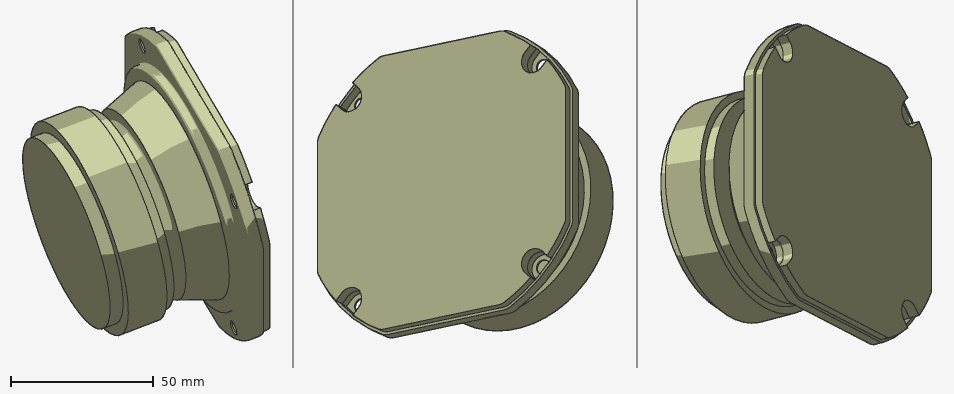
import cadquery as cq
import math


flange_width = 104.0
corner_arc_radius = 57.7
corner_blend_radius = 5.8

hole_offset = 37.3
hole_diameter = 5.2
corner_angles = [45, 135, 225, 315]

gasket_proud = 3.0
gasket_recess = 1.0
notch_width = 9.6
notch_shift = 0.4

flange_height = 4.6
flange_rim = 1.0
flange_front_wall = 0.6
flange_edge_round = 0.8
collar_diameter = 92.0
collar_height = 3.3
collar_root_round = 0.5
collar_edge_round = 1.0
bowl_back_diameter = 81.7
bowl_front_diameter = 71.5
bowl_depth = 14.4
neck_back_diameter = 62.4
neck_front_diameter = 56.0
neck_depth = 5.4
neck_root_round = 1.0

front_plate_diameter = 74.7
front_plate_thickness = 4.0
magnet_diameter = 80.0
magnet_thickness = 15.0
back_plate_diameter = 71.5
total_depth = 54.6

gasket_thickness = gasket_proud + gasket_recess
flange_front = gasket_proud + flange_height
pocket_front = flange_front - flange_front_wall
collar_front = flange_front + collar_height
bowl_front = collar_front + bowl_depth
neck_front = bowl_front + neck_depth
magnet_back = neck_front + front_plate_thickness
magnet_front = magnet_back + magnet_thickness


def plane_at(depth):
    """Plane across the speaker axis, its normal pointing forward along -Y."""
    return cq.Workplane("XZ", origin=(0, -depth, 0))


def turned(outline):
    """Turn a closed outline, drawn in (Y, radius), about the speaker axis."""
    return outline.revolve(360, (0, 0, 0), (1, 0, 0))


def flange_block(inset, back, front):
    """Square cut by the corner arc, with its outline moved inward by the inset."""
    side = flange_width - 2 * inset
    thickness = front - back
    square = plane_at(back).rect(side, side).extrude(thickness)
    round_blank = plane_at(back).circle(corner_arc_radius - inset).extrude(thickness)
    return square.intersect(round_blank).edges("|Y").fillet(corner_blend_radius - inset)


def hole_positions():
    return [(x, z) for x in (-hole_offset, hole_offset) for z in (-hole_offset, hole_offset)]


def corner_notches(back, front):
    """Slots around the mounting holes, rounded at the hole and running outward past the gasket edge."""
    round_end_center = hole_offset * math.sqrt(2) + notch_shift
    notch_length = flange_width / 2
    slot_center = round_end_center + (notch_length - notch_width) / 2
    slot = plane_at(back).center(slot_center, 0).slot2D(notch_length, notch_width).extrude(front - back)
    notches = cq.Workplane("XY")
    for angle in corner_angles:
        notches = notches.add(slot.rotate((0, 0, 0), (0, 1, 0), angle))
    return notches.combine()


def make_gasket():
    return flange_block(flange_rim, 0, gasket_thickness).cut(corner_notches(0, gasket_thickness))


def make_flange():
    """Plate with a rounded front edge, a recess for the gasket, and a pocket and a hole at each corner."""
    flange = flange_block(0, gasket_proud, flange_front)
    flange = flange.faces("<Y").edges().fillet(flange_edge_round)
    flange = flange.cut(flange_block(flange_rim, 0, gasket_thickness))

    pockets = flange_block(flange_rim, gasket_thickness, pocket_front)
    pockets = pockets.intersect(corner_notches(gasket_thickness, pocket_front))
    holes = plane_at(gasket_proud).pushPoints(hole_positions()).circle(hole_diameter / 2)
    return flange.cut(pockets).cut(holes.extrude(flange_height))


def make_basket_body():
    """Collar, bowl and neck, with the small rounds at the collar and at the root of the neck."""
    collar_radius = collar_diameter / 2
    outline = (
        cq.Workplane("YZ")
        .moveTo(-flange_front, 0)
        .lineTo(-flange_front, collar_radius + collar_root_round)
        .radiusArc((-flange_front - collar_root_round, collar_radius), collar_root_round)
        .lineTo(-collar_front + collar_edge_round, collar_radius)
        .radiusArc((-collar_front, collar_radius - collar_edge_round), -collar_edge_round)
        .lineTo(-collar_front, bowl_back_diameter / 2)
        .lineTo(-bowl_front, bowl_front_diameter / 2)
        .lineTo(-bowl_front, neck_back_diameter / 2)
        .lineTo(-neck_front, neck_front_diameter / 2)
        .lineTo(-neck_front, 0)
        .close()
    )
    body = turned(outline)
    search_box = cq.selectors.BoxSelector((-1, -bowl_front - 1, -1), (1, -bowl_front + 1, 1))
    bowl_front_edges = body.edges(search_box)
    neck_root = bowl_front_edges.edges(cq.selectors.RadiusNthSelector(0))
    return neck_root.fillet(neck_root_round)


def make_basket():
    return make_flange().union(make_basket_body())


def make_motor():
    """Front plate, magnet and back plate as one stepped cylinder."""
    front_plate_radius = front_plate_diameter / 2
    magnet_radius = magnet_diameter / 2
    back_plate_radius = back_plate_diameter / 2
    outline = (
        cq.Workplane("YZ")
        .moveTo(-neck_front, 0)
        .lineTo(-neck_front, front_plate_radius)
        .lineTo(-magnet_back, front_plate_radius)
        .lineTo(-magnet_back, magnet_radius)
        .lineTo(-magnet_front, magnet_radius)
        .lineTo(-magnet_front, back_plate_radius)
        .lineTo(-total_depth, back_plate_radius)
        .lineTo(-total_depth, 0)
        .close()
    )
    return turned(outline)


gasket = make_gasket()
basket = make_basket()
motor = make_motor()

result = cq.Compound.makeCompound([gasket.val(), basket.val(), motor.val()])